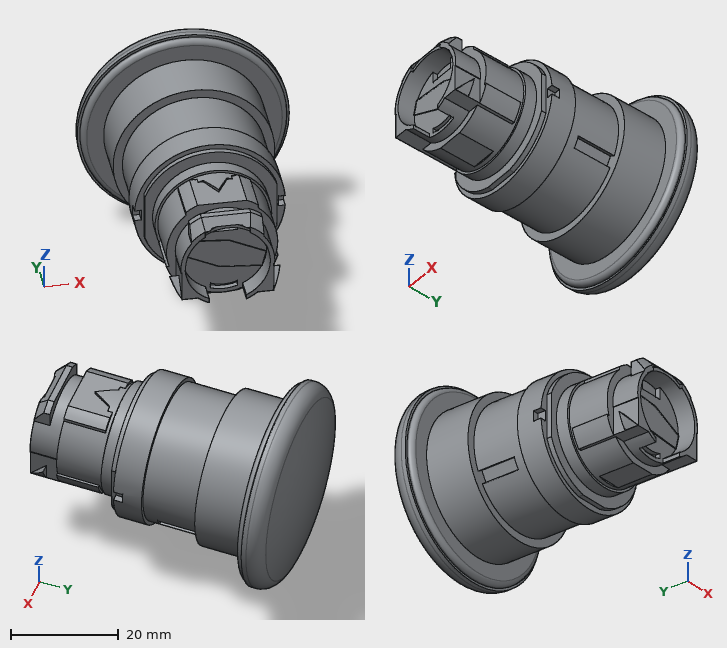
import cadquery as cq
import math

LENGTH = 53.0
FAR = 106.0

HEAD_RADIUS = 40.0 / 2
HEAD_CORNER_RADIUS = 3.2
HEAD_CORNER_START = 47.4
HEAD_RIM_START = 46.45
LIP_RADIUS = 39.0 / 2
LIP_START = 45.15
LIP_FILLET = 1.05

SLEEVE_RADIUS = 30.5 / 2
SLEEVE_START = 35.3
BARREL_RADIUS = 27.0 / 2
BARREL_START = 24.35
RING_RADIUS = 28.5 / 2
RING_START = 18.7
PLATE_RADIUS = 13.3
PLATE_START = 17.65
NECK_RADIUS = 22.0 / 2
NECK_START = 15.0
COLLAR_RADIUS = 21.0 / 2
COLLAR_START = 5.95
LATCH_RADIUS = 8.85

PLATE_SIDE_FLAT = 12.45
PLATE_BOTTOM_FLAT = 12.95
COLLAR_BOTTOM_FLAT = 10.1
COLLAR_FLAT_END = 14.05

KEY_END = 14.25
KEY_HALF_WIDTH = 6.85
KEY_TOP = 9.95
SIDE_KEY_TOP = -3.2
CORNER_X = 17.35 / 2
CORNER_Z = -6.85
ARROW_HALF_WIDTH = 3.25
ARROW_SHOULDER_HALF_WIDTH = 2.2
ARROW_SHOULDER = 13.25
ARROW_TIP = 9.5

LATCH_FLAT_TOP = -0.9
HOOK_END = 3.2
HOOK_LAND_START = 1.95
HOOK_TIP_RADIUS = 9.05
SIDE_HOOK_TOP = -3.5
BORE_RADIUS = 8.0
BORE_DEPTH = 3.9
TOP_RELIEF_RADIUS = 8.75
TOP_RELIEF_HALF_WIDTH = 4.25
TOP_RELIEF_DEPTH = 0.55
BOTTOM_GAP_HALF_WIDTH = 3.5

BAND_HEIGHT = 0.2
BAND_BEND = (0.9, 2.85)
BAND_NEAR_END = (7.95, -0.5)
BAND_FAR_END = (-7.15, 3.55)
POCKET_HALF_WIDTH = 5.15 / 2
POCKET_DEPTH = 1.05
TOP_POCKET_BOTTOM = 5.05
BOTTOM_POCKET_RADIUS = 7.0

NOTCH_WIDTH = 2.15
NOTCH_FLOOR = 12.95
NOTCH_END = 20.5
SLOT_WIDTH = 2.5
SLOT_FLOOR = 12.15
SLOT_START = 26.7
SLOT_TILT = 30.0


def cylinder(radius, start, end):
    """Cylinder on the Y axis from y = start to y = end."""
    return cq.Workplane("XZ", origin=(0, end, 0)).circle(radius).extrude(end - start)


def block(x_range, y_range, z_range):
    """Axis-aligned box between pairs of limits."""
    limits = (x_range, y_range, z_range)
    sides = [high - low for low, high in limits]
    corner = tuple(low for low, high in limits)
    return cq.Workplane("XY").box(*sides, centered=False).translate(corner)


def make_head():
    """Domed cap with a rounded rim and a smaller lip beneath it."""
    corner_x = HEAD_RADIUS - HEAD_CORNER_RADIUS
    drop = LENGTH - HEAD_CORNER_START
    dome = (corner_x**2 + drop**2 - HEAD_CORNER_RADIUS**2) / (2 * (drop - HEAD_CORNER_RADIUS))
    tilt = math.asin(corner_x / (dome - HEAD_CORNER_RADIUS))

    def on_dome(angle):
        return dome * math.sin(angle), LENGTH - dome * (1 - math.cos(angle))

    def on_corner(angle):
        return (corner_x + HEAD_CORNER_RADIUS * math.sin(angle),
                HEAD_CORNER_START + HEAD_CORNER_RADIUS * math.cos(angle))

    profile = (
        cq.Workplane("XY")
        .moveTo(0, HEAD_RIM_START)
        .lineTo(HEAD_RADIUS, HEAD_RIM_START)
        .lineTo(HEAD_RADIUS, HEAD_CORNER_START)
        .threePointArc(on_corner((tilt + math.pi / 2) / 2), on_dome(tilt))
        .threePointArc(on_dome(tilt / 2), (0, LENGTH))
        .close()
    )
    cap = profile.revolve(360, (0, 0, 0), (0, 1, 0))
    lip = cylinder(LIP_RADIUS, LIP_START, HEAD_RIM_START).faces("<Y").edges().fillet(LIP_FILLET)
    return cap.union(lip)


def make_barrel():
    """Sleeve and barrel with a slot low on each side."""
    barrel = cylinder(SLEEVE_RADIUS, SLEEVE_START, LIP_START)
    barrel = barrel.union(cylinder(BARREL_RADIUS, BARREL_START, SLEEVE_START))
    for tilt in (SLOT_TILT, 180 - SLOT_TILT):
        slot = block((SLOT_FLOOR, FAR), (SLOT_START, SLEEVE_START), (-SLOT_WIDTH / 2, SLOT_WIDTH / 2))
        barrel = barrel.cut(slot.rotate((0, 0, 0), (0, 1, 0), tilt))
    return barrel


def make_ring():
    """Notched ring, flatted plate and round neck."""
    ring = cylinder(RING_RADIUS, RING_START, BARREL_START)
    notch_z = (-NOTCH_WIDTH / 2, NOTCH_WIDTH / 2)
    for x_range in ((-FAR, -NOTCH_FLOOR), (NOTCH_FLOOR, FAR)):
        ring = ring.cut(block(x_range, (RING_START, NOTCH_END), notch_z))
    plate_room = block(
        (-PLATE_SIDE_FLAT, PLATE_SIDE_FLAT), (PLATE_START, RING_START), (-PLATE_BOTTOM_FLAT, FAR)
    )
    plate = cylinder(PLATE_RADIUS, PLATE_START, RING_START).intersect(plate_room)
    return ring.union(plate).union(cylinder(NECK_RADIUS, NECK_START, PLATE_START))


def top_key(start, end):
    """Key on top of the neck radius, with a flat crown and vertical sides."""
    room = block((-KEY_HALF_WIDTH, KEY_HALF_WIDTH), (start, end), (0, KEY_TOP))
    return cylinder(NECK_RADIUS, start, end).intersect(room)


def side_keys(start, end, top):
    """Slab out to the neck radius that forms the low keys on both sides."""
    room = block((-FAR, FAR), (start, end), (CORNER_Z, top))
    return cylinder(NECK_RADIUS, start, end).intersect(room)


def make_collar():
    """Round collar with its keys and a flat underneath."""
    collar = cylinder(COLLAR_RADIUS, COLLAR_START, NECK_START)
    collar = collar.cut(block((-FAR, FAR), (COLLAR_START, COLLAR_FLAT_END), (-FAR, -COLLAR_BOTTOM_FLAT)))
    collar = collar.union(side_keys(COLLAR_START, KEY_END, SIDE_KEY_TOP))

    arrow = (
        cq.Workplane("XY")
        .polyline([
            (-ARROW_HALF_WIDTH, KEY_END),
            (-ARROW_HALF_WIDTH, ARROW_SHOULDER),
            (-ARROW_SHOULDER_HALF_WIDTH, ARROW_SHOULDER),
            (0, ARROW_TIP),
            (ARROW_SHOULDER_HALF_WIDTH, ARROW_SHOULDER),
            (ARROW_HALF_WIDTH, ARROW_SHOULDER),
            (ARROW_HALF_WIDTH, KEY_END),
        ])
        .close()
        .extrude(FAR)
    )
    flat = block((-KEY_HALF_WIDTH, KEY_HALF_WIDTH), (COLLAR_START, KEY_END), (KEY_TOP, FAR))
    return collar.cut(flat.cut(arrow)).union(top_key(COLLAR_START, KEY_END))


def top_ramp():
    """Wedge that slopes the tip of the top hook at 45 degrees."""
    return (
        cq.Workplane("YZ", origin=(-FAR / 2, 0, 0))
        .polyline([(0, KEY_TOP - HOOK_LAND_START), (HOOK_LAND_START, KEY_TOP), (0, KEY_TOP)])
        .close()
        .extrude(FAR)
    )


def make_top_hook():
    """Top key shortened to a hook with tapered shoulders."""
    taper = (
        cq.Workplane("XY")
        .polyline([
            (0, 0),
            (HOOK_TIP_RADIUS, 0),
            (NECK_RADIUS, HOOK_LAND_START),
            (NECK_RADIUS, HOOK_END),
            (0, HOOK_END),
        ])
        .close()
        .revolve(360, (0, 0, 0), (0, 1, 0))
    )
    return top_key(0, HOOK_END).intersect(taper)


def make_side_hooks():
    """Pair of low side hooks that slope away toward the tip."""
    ramp = (
        cq.Workplane("YZ", origin=(-FAR / 2, 0, 0))
        .polyline([(0, CORNER_Z), (HOOK_END, CORNER_Z), (HOOK_END, SIDE_HOOK_TOP)])
        .close()
        .extrude(FAR)
    )
    return side_keys(0, HOOK_END, SIDE_HOOK_TOP).intersect(ramp)


def make_floor_band():
    """Thin bent band standing on the bore floor."""
    upper_edge = [BAND_FAR_END, BAND_BEND, BAND_NEAR_END]
    lower_edge = [(-x, -z) for x, z in upper_edge]
    return (
        cq.Workplane("XZ", origin=(0, BORE_DEPTH, 0))
        .polyline(upper_edge + lower_edge)
        .close()
        .extrude(BAND_HEIGHT)
    )


def make_floor_pockets():
    """Pockets in the bore floor, above and below the band."""
    pocket_x = (-POCKET_HALF_WIDTH, POCKET_HALF_WIDTH)
    pocket_y = (BORE_DEPTH, BORE_DEPTH + POCKET_DEPTH)
    disc = cylinder(BORE_RADIUS, *pocket_y)
    top_pocket = disc.intersect(block(pocket_x, pocket_y, (TOP_POCKET_BOTTOM, FAR)))
    crescent = disc.cut(cylinder(BOTTOM_POCKET_RADIUS, *pocket_y))
    bottom_pocket = crescent.intersect(block(pocket_x, pocket_y, (-FAR, 0)))
    return top_pocket.union(bottom_pocket)


def make_latch():
    """Open latch cup with hooks, flat lower sides and a gap at the bottom."""
    latch = cylinder(LATCH_RADIUS, 0, COLLAR_START)
    latch = latch.union(block((-CORNER_X, CORNER_X), (0, COLLAR_START), (CORNER_Z, LATCH_FLAT_TOP)))
    for x_range in ((-FAR, -CORNER_X), (CORNER_X, FAR)):
        latch = latch.cut(block(x_range, (0, COLLAR_START), (-FAR, LATCH_FLAT_TOP)))
    latch = latch.union(make_top_hook()).cut(top_ramp()).union(make_side_hooks())

    latch = latch.cut(cylinder(BORE_RADIUS, 0, BORE_DEPTH))
    relief_room = block((-TOP_RELIEF_HALF_WIDTH, TOP_RELIEF_HALF_WIDTH), (0, TOP_RELIEF_DEPTH), (0, FAR))
    latch = latch.cut(cylinder(TOP_RELIEF_RADIUS, 0, TOP_RELIEF_DEPTH).intersect(relief_room))
    gap = block((-BOTTOM_GAP_HALF_WIDTH, BOTTOM_GAP_HALF_WIDTH), (0, BORE_DEPTH), (-FAR, 0))
    return latch.cut(gap).cut(make_floor_pockets()).union(make_floor_band())


result = make_head().union(make_barrel()).union(make_ring()).union(make_collar()).union(make_latch())